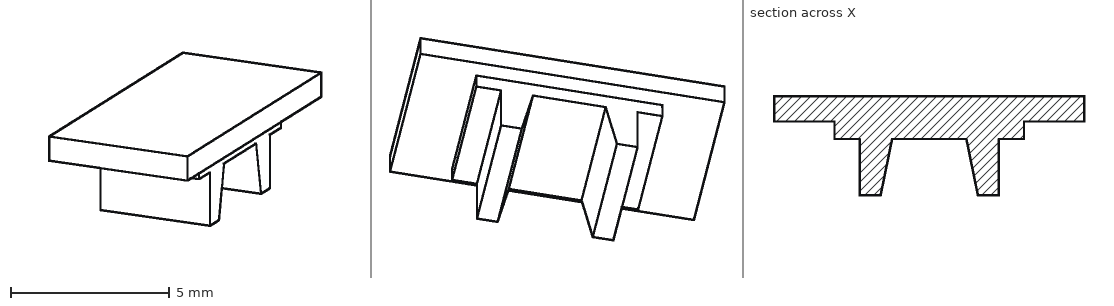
import cadquery as cq

plate_width = 4.85
plate_length = 9.8
plate_thickness = 0.8

pad_width = 3.84
pad_length = 6.0
pad_thickness = 0.56

total_height = 3.14
leg_height = total_height - plate_thickness - pad_thickness
leg_outer_span = 4.4
leg_root_thickness = 1.03
leg_tip_thickness = 0.67

pad_bottom = leg_height
plate_bottom = pad_bottom + pad_thickness


def centered_block(width, length, height, bottom):
    """Block centred on the Z axis, standing on the given height."""
    return (
        cq.Workplane("XY")
        .workplane(offset=bottom)
        .rect(width, length)
        .extrude(height)
    )


def tapered_leg(side):
    """Leg with an upright outer face and a sloped inner face; side is -1 or 1 along Y."""
    outer = leg_outer_span / 2
    profile = [
        (side * outer, 0),
        (side * outer, pad_bottom),
        (side * (outer - leg_root_thickness), pad_bottom),
        (side * (outer - leg_tip_thickness), 0),
    ]
    return cq.Workplane("YZ").polyline(profile).close().extrude(pad_width / 2, both=True)


plate = centered_block(plate_width, plate_length, plate_thickness, plate_bottom)
pad = centered_block(pad_width, pad_length, pad_thickness, pad_bottom)

result = plate.union(pad)
for side in (-1, 1):
    result = result.union(tapered_leg(side))